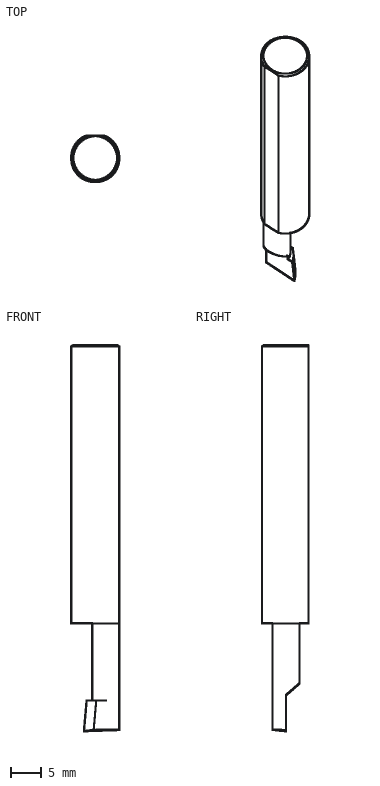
import cadquery as cq
import math

total_length = 63.49

shank_diameter = 7.94
shank_radius = shank_diameter / 2
shank_length = 45.72
shank_base_z = total_length - shank_length
flat_to_back = 7.68
clamp_flat_y = flat_to_back - shank_radius
end_chamfer_radial = 0.38
end_chamfer_height = 0.25

neck_radius = 2.24
neck_x = shank_radius - neck_radius

relief_floor_z = 5.95
relief_angle = 41

head_height = 5.08
side_lean_angle = 5
tip_x = -1.88
heel_x = -1.0
heel_y = -1.52
clearance_sagitta = 0.07
back_corner_x = -0.28

end_clearance_angle = 5
end_dish_angle = 2


def make_shank():
    shank = (
        cq.Workplane("XY")
        .workplane(offset=shank_base_z)
        .circle(shank_radius)
        .extrude(shank_length)
        .faces(">Z")
        .chamfer(end_chamfer_height, end_chamfer_radial)
    )
    flat_cutter = (
        cq.Workplane("XY")
        .workplane(offset=shank_base_z)
        .center(0, clamp_flat_y)
        .rect(shank_diameter, shank_radius, centered=(True, False))
        .extrude(shank_length)
    )
    return shank.cut(flat_cutter)


def make_neck():
    neck = cq.Workplane("XY").center(neck_x, 0).circle(neck_radius).extrude(shank_base_z)
    reach = 2 * neck_radius
    slope_top_z = relief_floor_z + reach * math.tan(math.radians(relief_angle))
    relief_cutter = (
        cq.Workplane("YZ")
        .workplane(offset=neck_x)
        .polyline([(0, 0), (reach, 0), (reach, slope_top_z), (0, relief_floor_z)])
        .close()
        .extrude(reach, both=True)
    )
    return neck.cut(relief_cutter)


def make_head():
    lean = head_height * math.tan(math.radians(side_lean_angle))

    def add_section(workplane, x_shift):
        return (
            workplane.moveTo(tip_x + x_shift, 0)
            .sagittaArc((heel_x + x_shift, heel_y), -clearance_sagitta)
            .lineTo(back_corner_x + x_shift, -neck_radius)
            .lineTo(neck_x, -neck_radius)
            .lineTo(neck_x, 0)
            .close()
        )

    lower = add_section(cq.Workplane("XY"), 0)
    both = add_section(lower.workplane(offset=head_height, origin=(0, 0, 0)), lean)
    return both.loft(ruled=True)


def make_end_face_cutter():
    size = 2 * shank_diameter
    return (
        cq.Workplane("XY")
        .box(size, size, size, centered=(True, True, False))
        .translate((0, 0, -size))
        .rotate((0, 0, 0), (1, 0, 0), -end_clearance_angle)
        .rotate((0, 0, 0), (0, 1, 0), -end_dish_angle)
        .translate((tip_x, 0, 0))
    )


tool_tip = make_neck().union(make_head()).cut(make_end_face_cutter())
result = make_shank().union(tool_tip)